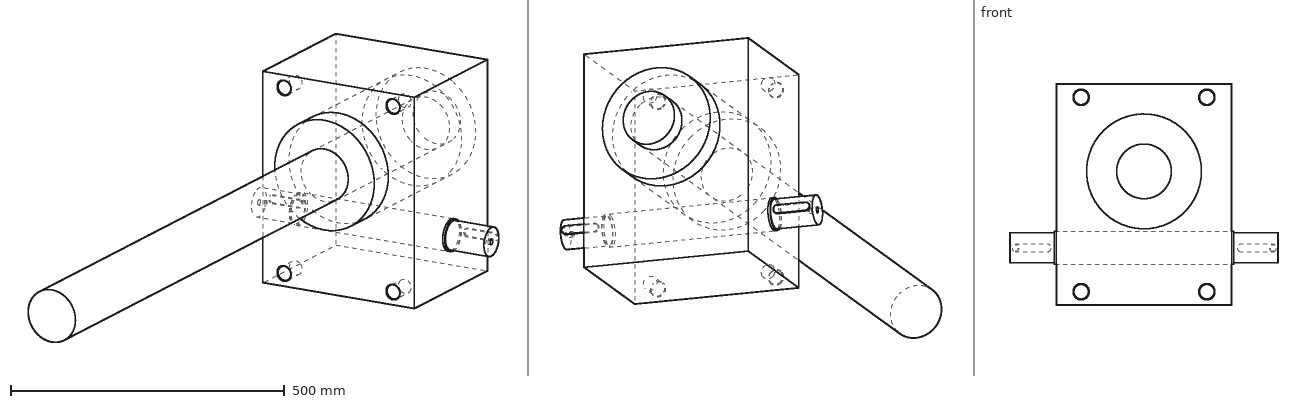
import cadquery as cq


HOUSING_WIDTH = 320.0
HOUSING_DEPTH = 268.0
HOUSING_HEIGHT = 405.0

MOUNTING_HOLE_DIAMETER = 27.0
MOUNTING_HOLE_CHAMFER = 1.0
MOUNTING_HOLE_DEPTH = 42.0
MOUNTING_HOLE_SPACING_X = 230.0
MOUNTING_HOLE_SPACING_Z = 355.0

DRILL_TIP_RATIO = 0.6

SCREW_AXIS_Z = 42.0
SCREW_DIAMETER = 100.0
SCREW_LENGTH = 1410.0
HUB_DIAMETER = 210.0
HUB_LENGTH = 371.0
SCREW_REAR_PROJECTION = 40.0
SCREW_REAR_Y = HUB_LENGTH / 2 + SCREW_REAR_PROJECTION

SHAFT_AXIS_Z = -97.0
SHAFT_DIAMETER = 55.0
SHAFT_LENGTH = 490.0
SHOULDER_DIAMETER = 60.0
SHOULDER_PROJECTION = 4.0
SHOULDER_LENGTH = HOUSING_WIDTH + 2 * SHOULDER_PROJECTION

KEY_LENGTH = 70.0
KEY_WIDTH = 15.0
KEY_PROJECTION = 4.0
KEY_HEIGHT = 10.0
KEY_END_GAP = 4.0
KEY_CENTRE_X = SHAFT_LENGTH / 2 - KEY_END_GAP - KEY_LENGTH / 2
KEY_TOP_Y = SHAFT_DIAMETER / 2 + KEY_PROJECTION

CENTRE_HOLE_DIAMETER = 10.2
CENTRE_HOLE_DEPTH = 14.0

SIDES = (-1, 1)


def screw_axis_cylinder(diameter, length, rear_y):
    """Cylinder on the screw axis, running forward (-Y) from rear_y."""
    return cq.Workplane("XZ", origin=(0, rear_y, SCREW_AXIS_Z)).circle(diameter / 2).extrude(length)


def shaft_axis_cylinder(diameter, length):
    """Cylinder on the shaft axis, centred on X = 0."""
    start = (-length / 2, 0, SHAFT_AXIS_Z)
    return cq.Workplane("YZ", origin=start).circle(diameter / 2).extrude(length)


def drilled_hole(diameter, depth, chamfer=0):
    """Cutter with its mouth at the origin, going in +Y to a conical drill tip."""
    radius = diameter / 2
    profile = cq.Workplane("XY").lineTo(radius + chamfer, 0)
    if chamfer:
        profile = profile.lineTo(radius, chamfer)
    profile = profile.lineTo(radius, depth).lineTo(0, depth + radius * DRILL_TIP_RATIO).close()
    return profile.revolve(360, (0, 0, 0), (0, 1, 0))


def make_screw():
    return screw_axis_cylinder(SCREW_DIAMETER, SCREW_LENGTH, SCREW_REAR_Y)


def make_hub(screw):
    return screw_axis_cylinder(HUB_DIAMETER, HUB_LENGTH, HUB_LENGTH / 2).cut(screw)


def make_key(side):
    top_centre = (side * KEY_CENTRE_X, KEY_TOP_Y, SHAFT_AXIS_Z)
    return cq.Workplane("XZ", origin=top_centre).slot2D(KEY_LENGTH, KEY_WIDTH).extrude(KEY_HEIGHT)


def make_shaft():
    shaft = shaft_axis_cylinder(SHAFT_DIAMETER, SHAFT_LENGTH)
    shaft = shaft.union(shaft_axis_cylinder(SHOULDER_DIAMETER, SHOULDER_LENGTH))
    centre_hole = drilled_hole(CENTRE_HOLE_DIAMETER, CENTRE_HOLE_DEPTH)
    for side in SIDES:
        shaft = shaft.union(make_key(side))
        inward_hole = centre_hole.rotate((0, 0, 0), (0, 0, 1), side * 90)
        shaft = shaft.cut(inward_hole.translate((side * SHAFT_LENGTH / 2, 0, SHAFT_AXIS_Z)))
    return shaft


def make_housing():
    housing = cq.Workplane().box(HOUSING_WIDTH, HOUSING_DEPTH, HOUSING_HEIGHT)

    mounting_hole = drilled_hole(MOUNTING_HOLE_DIAMETER, MOUNTING_HOLE_DEPTH, MOUNTING_HOLE_CHAMFER)
    for side_x in SIDES:
        for side_z in SIDES:
            mouth = (
                side_x * MOUNTING_HOLE_SPACING_X / 2,
                -HOUSING_DEPTH / 2,
                side_z * MOUNTING_HOLE_SPACING_Z / 2,
            )
            housing = housing.cut(mounting_hole.translate(mouth))

    hub_bore = screw_axis_cylinder(HUB_DIAMETER, HOUSING_DEPTH, HOUSING_DEPTH / 2)
    shaft_bore = shaft_axis_cylinder(SHOULDER_DIAMETER, HOUSING_WIDTH)
    return housing.cut(hub_bore).cut(shaft_bore)


screw = make_screw()
hub = make_hub(screw)
shaft = make_shaft()
housing = make_housing()

result = cq.Compound.makeCompound([housing.val(), hub.val(), screw.val(), shaft.val()])